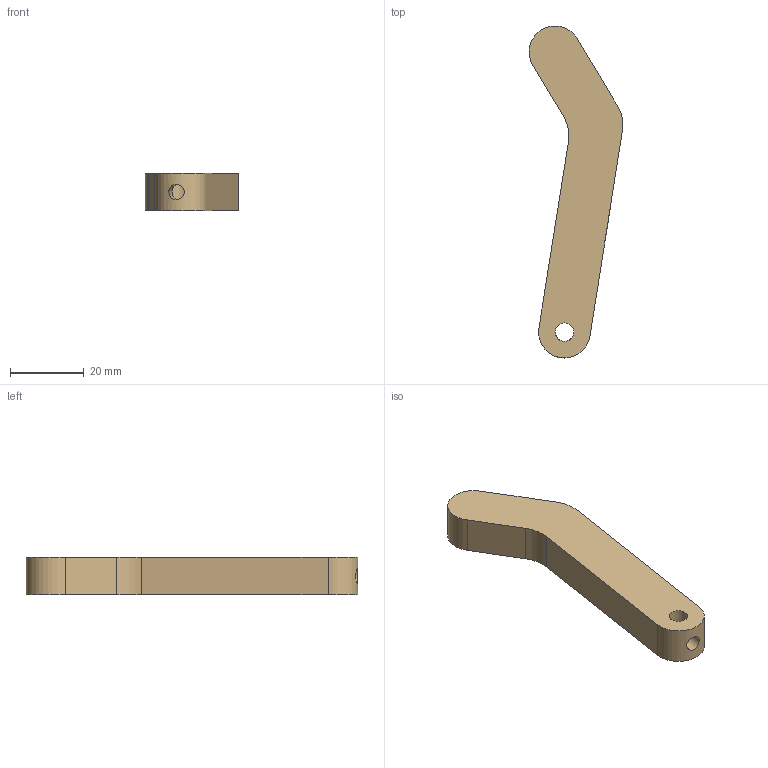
import cadquery as cq
import math

overall_length = 90.0
thickness = 10.1
arm_width = 14.0
end_radius = arm_width / 2
bend_radius = 10.0
long_arm_angle = math.radians(9.0)
short_arm_angle = math.radians(31.0)
short_arm_length = 22.45

pivot_hole_diameter = 5.0
screw_hole_diameter = 4.2

end_spacing_y = overall_length - 2 * end_radius
long_arm_length = (end_spacing_y - short_arm_length * math.cos(short_arm_angle)) / math.cos(long_arm_angle)

long_arm_direction = cq.Vector(math.sin(long_arm_angle), math.cos(long_arm_angle), 0)
short_arm_direction = cq.Vector(-math.sin(short_arm_angle), math.cos(short_arm_angle), 0)
pivot = cq.Vector(0, 0, 0)
bend = pivot + long_arm_direction * long_arm_length
tip = bend + short_arm_direction * short_arm_length


def right_of(direction):
    """Offset from an arm's centreline to its right-hand side."""
    return cq.Vector(direction.y, -direction.x, 0) * end_radius


def flat(point):
    """X and Y of a point, for sketching on the bottom face."""
    return (point.x, point.y)


def make_lever():
    """Plate outline with round ends and both corners of the bend rounded."""
    long_side = right_of(long_arm_direction)
    short_side = right_of(short_arm_direction)
    bend_half_angle = (long_arm_angle + short_arm_angle) / 2
    corner_offset = (long_side + short_side).normalized() * (end_radius / math.cos(bend_half_angle))
    outer_corner = bend + corner_offset
    inner_corner = bend - corner_offset

    plate = (
        cq.Workplane("XY")
        .moveTo(*flat(pivot + long_side))
        .lineTo(*flat(outer_corner))
        .lineTo(*flat(tip + short_side))
        .threePointArc(
            flat(tip + short_arm_direction * end_radius),
            flat(tip - short_side),
        )
        .lineTo(*flat(inner_corner))
        .lineTo(*flat(pivot - long_side))
        .threePointArc(
            flat(pivot - long_arm_direction * end_radius),
            flat(pivot + long_side),
        )
        .close()
        .extrude(thickness)
    )
    for corner in (outer_corner, inner_corner):
        plate = plate.edges(cq.NearestToPointSelector((corner.x, corner.y, thickness / 2))).fillet(bend_radius)
    return plate


def make_pivot_hole():
    """Through hole across the thickness at the end of the long arm."""
    return cq.Workplane("XY").circle(pivot_hole_diameter / 2).extrude(thickness)


def make_screw_hole():
    """Hole along the long arm, from its round end into the pivot hole, at mid thickness."""
    end_point = pivot - long_arm_direction * end_radius + cq.Vector(0, 0, thickness / 2)
    bore = cq.Solid.makeCylinder(screw_hole_diameter / 2, end_radius, end_point, long_arm_direction)
    return cq.Workplane(bore)


result = make_lever().cut(make_pivot_hole()).cut(make_screw_hole())